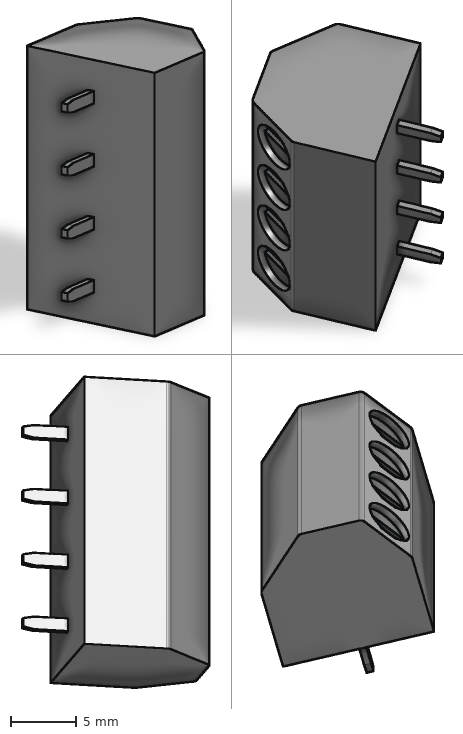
import cadquery as cq
import math

body_width = 12.0
body_depth = 10.8
body_height = 21.25
shoulder_drop = 4.1
screw_slope_run = 2.89
entry_slope_run = 4.1
edge_radius = 0.5

pole_count = 4
pole_pitch = 5.08

recess_diameter = 3.95
recess_depth = 0.62
recess_drop = 2.23
slot_width = 0.85
slot_depth = 0.93

pin_width = 0.55
pin_height = 1.0
pin_length = 3.5
pin_tip_height = 0.68
pin_taper_length = 0.8

half_width = body_width / 2
shoulder_y = body_depth - shoulder_drop
pole_heights = [(i - (pole_count - 1) / 2) * pole_pitch for i in range(pole_count)]


def make_housing():
    outline = [
        (-half_width, 0),
        (half_width, 0),
        (half_width, shoulder_y),
        (half_width - entry_slope_run, body_depth),
        (-half_width + screw_slope_run, body_depth),
        (-half_width, shoulder_y),
    ]
    housing = cq.Workplane("XY").polyline(outline).close().extrude(body_height / 2, both=True)
    return housing.edges("|Z and (not <Y)").fillet(edge_radius)


def make_screw_recess(z):
    slope_ratio = screw_slope_run / shoulder_drop
    centre_x = -half_width + screw_slope_run - recess_drop * slope_ratio
    slant_plane = cq.Plane(
        origin=(centre_x, body_depth - recess_drop, z),
        xDir=(screw_slope_run, shoulder_drop, 0),
        normal=(-shoulder_drop, screw_slope_run, 0),
    )
    slant = cq.Workplane(slant_plane)
    recess = slant.circle(recess_diameter / 2).extrude(-recess_depth)
    full_depth = recess_depth + slot_depth
    slot = (
        slant.rect(recess_diameter, slot_width).extrude(-full_depth)
        .intersect(slant.circle(recess_diameter / 2).extrude(-full_depth))
    )
    return recess.union(slot)


def make_pin(z):
    half_height = pin_height / 2
    half_tip = pin_tip_height / 2
    taper_start = -pin_length + pin_taper_length
    outline = [
        (0, -half_height),
        (taper_start, -half_height),
        (-pin_length, -half_tip),
        (-pin_length, half_tip),
        (taper_start, half_height),
        (0, half_height),
    ]
    pin = cq.Workplane("YZ").polyline(outline).close().extrude(pin_width / 2, both=True)
    return pin.translate((0, 0, z))


result = make_housing()
for pole_z in pole_heights:
    result = result.cut(make_screw_recess(pole_z))
    result = result.union(make_pin(pole_z))